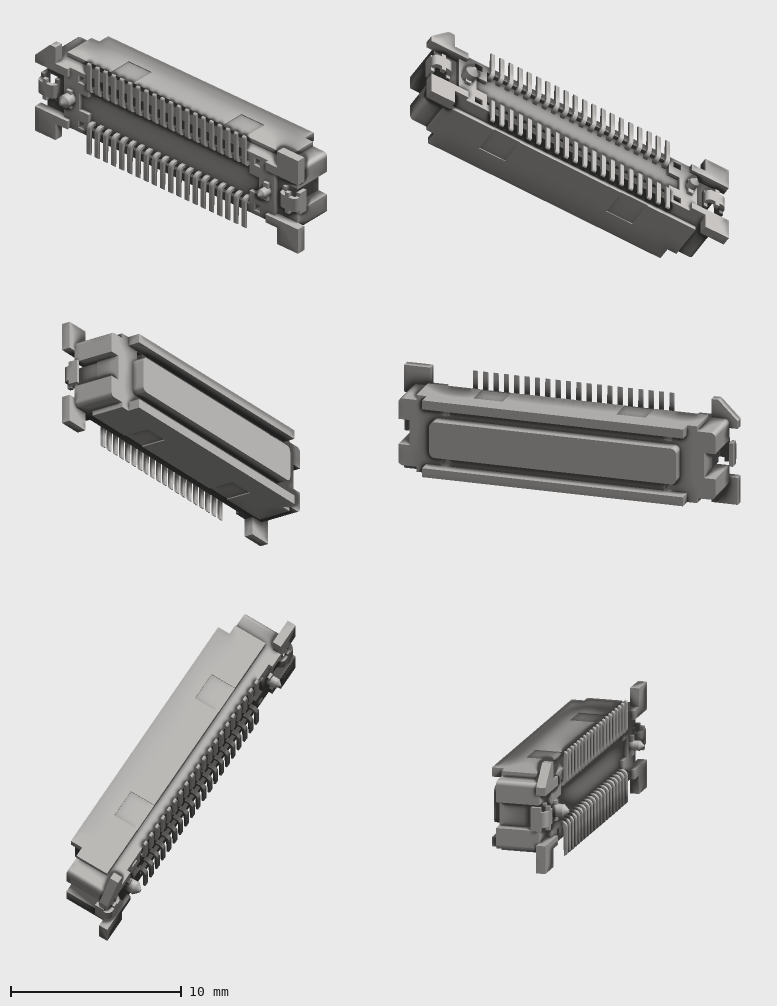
import cadquery as cq


SIDES = (-1, 1)

PAD_SPAN_X = 20.57
PAD_SPAN_Z = 6.4
PAD_WIDTH = 1.63
PAD_THICKNESS = 0.55
PAD_INNER_Z = 1.52
ARM_INNER_X = 7.73
KEY_CHAMFER = 1.2
PAD_X = PAD_SPAN_X / 2
PAD_Z = PAD_SPAN_Z / 2

BODY_X = 9.77
BODY_Z = 2.08
BODY_FRONT_Y = 0.25
BODY_BACK_Y = 3.17
BODY_EDGE_RADIUS = 0.27
CENTER_X = 8.23
END_SLOT_X = 9.07
END_SLOT_Z = 0.78

MATING_END_Y = 3.95
COVER_X = 8.65
COVER_TIP_X = 8.05
COVER_FRONT_Y = 1.05
COVER_Z = 2.39
COVER_INNER_Z = 1.83
TONGUE_X = 7.61
TONGUE_Z = 1.11
TONGUE_RADIUS = 0.33

WINDOW_X = 4.4
WINDOW_WIDTH = 1.8
WINDOW_BACK_Y = 2.67
WINDOW_DEPTH = 0.06

RECESS_X = 6.3
RECESS_Z = PAD_INNER_Z
RECESS_TAB_X = 7.03
RECESS_TAB_Z = 0.6
RECESS_FLOOR_Y = 0.5

HOLE_X = 6.87
HOLE_Z = 1.56
HOLE_SIZE = 0.5

CONTACT_COUNT = 20
CONTACT_PITCH = 0.64
CONTACT_WIDTH = 0.27
CONTACT_THICKNESS = 0.2
CONTACT_FACE_Y = -0.06
CONTACT_TIP_Z = 3.15
CONTACT_TIP_RADIUS = 0.16
CONTACT_ROOT_Z = 1.07
CONTACT_BEND_RADIUS = 0.37

PEG_X = 7.7
LARGE_PEG_DIAMETER = 0.8
SMALL_PEG_DIAMETER = 0.6
LARGE_PEG_TIP_DIAMETER = 0.2
PEG_SHOULDER_Y = -0.35
PEG_TIP_Y = -0.65
PEG_RIB_WIDTH = 0.35
PEG_RIB_Z = 0.6
PEG_RIB_Y = 0.05

CLIP_OUTER_X = 10.12
CLIP_INNER_X = 8.78
CLIP_THICKNESS = 0.25
CLIP_BEND_RADIUS = 0.35
CLIP_FRONT_Y = CONTACT_FACE_Y
CLIP_LEG_FRONT_Y = 0.35
CLIP_OUTER_LEG_Y = 0.95
CLIP_INNER_LEG_Y = 1.67
CLIP_POCKET_X = 8.95
CLIP_LEG_Z = 0.72
CLIP_BEND_Z = 0.45
CLIP_TAB_INNER_X = 9.34
CLIP_TAB_OUTER_X = 9.6


def block(x_range, y_range, z_range):
    """Axis-aligned box between pairs of limits, given in either order."""
    limits = [sorted(r) for r in (x_range, y_range, z_range)]
    sizes = [high - low for low, high in limits]
    corner = tuple(low for low, high in limits)
    return cq.Workplane("XY").box(*sizes, centered=False).translate(corner)


def both(half_size):
    """Range centred on zero."""
    return -half_size, half_size


def centered(middle, size):
    """Range of a given size about a middle."""
    return middle - size / 2, middle + size / 2


def make_body():
    """Housing block with an open slot at each end and a tongue at the mating end."""
    body = block(both(BODY_X), (PAD_THICKNESS, BODY_BACK_Y), both(BODY_Z))
    body = body.edges("|Y").fillet(BODY_EDGE_RADIUS)
    body = body.union(block(both(CENTER_X), (BODY_FRONT_Y, BODY_BACK_Y), both(BODY_Z)))
    for side in SIDES:
        slot_x = (side * END_SLOT_X, side * PAD_X)
        pocket_x = (side * CLIP_POCKET_X, side * PAD_X)
        body = body.cut(block(slot_x, (0, BODY_BACK_Y), both(END_SLOT_Z)))
        body = body.cut(block(pocket_x, (0, CLIP_INNER_LEG_Y), both(END_SLOT_Z)))
    tongue = block(both(TONGUE_X), (BODY_BACK_Y, MATING_END_Y), both(TONGUE_Z))
    return body.union(tongue.edges("|Y").fillet(TONGUE_RADIUS))


def make_cover(side_z):
    """Plate on one long side, with a slightly shorter tip beyond the body and two windows."""
    cover_z = (side_z * COVER_INNER_Z, side_z * COVER_Z)
    plate = block(both(COVER_X), (COVER_FRONT_Y, BODY_BACK_Y), cover_z)
    tip = block(both(COVER_TIP_X), (BODY_BACK_Y, MATING_END_Y), cover_z)
    cover = plate.union(tip)
    for side_x in SIDES:
        window = block(
            centered(side_x * WINDOW_X, WINDOW_WIDTH),
            (COVER_FRONT_Y, WINDOW_BACK_Y),
            (side_z * (COVER_Z - WINDOW_DEPTH), side_z * COVER_Z),
        )
        cover = cover.cut(window)
    return cover


def make_pad(side_x, side_z):
    """Solder pad with a narrower arm reaching inwards along the body."""
    thickness = (0, PAD_THICKNESS)
    pad_x = (side_x * (PAD_X - PAD_WIDTH), side_x * PAD_X)
    arm_x = (side_x * ARM_INNER_X, side_x * PAD_X)
    pad = block(pad_x, thickness, (side_z * PAD_INNER_Z, side_z * PAD_Z))
    arm = block(arm_x, thickness, (side_z * PAD_INNER_Z, side_z * BODY_Z))
    return pad.union(arm)


def make_pads():
    """Four pads; the one at -X, +Z has its outer corner cut off as a key."""
    pads = cq.Workplane("XY")
    for side_x in SIDES:
        for side_z in SIDES:
            pad = make_pad(side_x, side_z)
            if side_x < 0 < side_z:
                pad = pad.edges("|Y").edges("<X").edges(">Z").chamfer(KEY_CHAMFER)
            pads = pads.add(pad)
    return pads.combine()


def make_recess():
    """Volume removed from the seating face: a long field with a tab at each end."""
    depth = (0, RECESS_FLOOR_Y)
    main = block(both(RECESS_X), depth, both(RECESS_Z))
    return main.union(block(both(RECESS_TAB_X), depth, both(RECESS_TAB_Z)))


def make_holes():
    """Four square holes running through the body along Y."""
    holes = cq.Workplane("XY")
    for side_x in SIDES:
        for side_z in SIDES:
            hole_x = centered(side_x * HOLE_X, HOLE_SIZE)
            hole_z = centered(side_z * HOLE_Z, HOLE_SIZE)
            holes = holes.add(block(hole_x, (0, BODY_BACK_Y), hole_z))
    return holes.combine()


def make_contact():
    """Contact for the +Z row: a tail with a rounded tip, bent through 90 degrees into the recess floor."""
    back_y = CONTACT_FACE_Y + CONTACT_THICKNESS
    bend_y = CONTACT_FACE_Y + CONTACT_BEND_RADIUS
    bend_z = CONTACT_ROOT_Z + CONTACT_BEND_RADIUS
    root_back_z = CONTACT_ROOT_Z + CONTACT_THICKNESS
    tip_y = CONTACT_FACE_Y + CONTACT_TIP_RADIUS
    tip_z = CONTACT_TIP_Z - CONTACT_TIP_RADIUS
    inner_radius = CONTACT_BEND_RADIUS - CONTACT_THICKNESS
    profile = (
        cq.Workplane("YZ")
        .moveTo(RECESS_FLOOR_Y, CONTACT_ROOT_Z)
        .lineTo(bend_y, CONTACT_ROOT_Z)
        .radiusArc((CONTACT_FACE_Y, bend_z), CONTACT_BEND_RADIUS)
        .lineTo(CONTACT_FACE_Y, tip_z)
        .radiusArc((tip_y, CONTACT_TIP_Z), CONTACT_TIP_RADIUS)
        .lineTo(back_y, bend_z)
        .radiusArc((bend_y, root_back_z), -inner_radius)
        .lineTo(RECESS_FLOOR_Y, root_back_z)
        .close()
    )
    return profile.extrude(CONTACT_WIDTH / 2, both=True)


def make_contacts():
    """Two mirrored rows of contacts, evenly spaced about X = 0."""
    upper = make_contact()
    lower = upper.mirror("XY")
    first_x = -CONTACT_PITCH * (CONTACT_COUNT - 1) / 2
    contacts = cq.Workplane("XY")
    for index in range(CONTACT_COUNT):
        offset = (first_x + index * CONTACT_PITCH, 0, 0)
        contacts = contacts.add(upper.translate(offset)).add(lower.translate(offset))
    return contacts.combine()


def make_peg(x, diameter, tip_diameter):
    """Peg with a conical end, flanked by a short rib in Z."""
    profile = [
        (0, RECESS_FLOOR_Y),
        (diameter / 2, RECESS_FLOOR_Y),
        (diameter / 2, PEG_SHOULDER_Y),
        (tip_diameter / 2, PEG_TIP_Y),
    ]
    if tip_diameter > 0:
        profile.append((0, PEG_TIP_Y))
    peg = cq.Workplane("XY").polyline(profile).close().revolve(360, (0, 0), (0, 1))
    rib = block(centered(0, PEG_RIB_WIDTH), (PEG_RIB_Y, RECESS_FLOOR_Y), both(PEG_RIB_Z))
    return peg.union(rib).translate((x, 0, 0))


def make_clip(side_x):
    """U-shaped strip, narrowed at its two bends, whose inner leg sits in the body."""
    gap_x = (CLIP_INNER_X + CLIP_THICKNESS, CLIP_OUTER_X - CLIP_THICKNESS)
    leg_z = both(CLIP_LEG_Z)
    envelope = block((CLIP_INNER_X, CLIP_OUTER_X), (CLIP_FRONT_Y, CLIP_INNER_LEG_Y), leg_z)
    envelope = envelope.edges("|Z and <Y").fillet(CLIP_BEND_RADIUS)
    gap = block(gap_x, (CLIP_FRONT_Y + CLIP_THICKNESS, CLIP_INNER_LEG_Y), leg_z)
    gap = gap.edges("|Z and <Y").fillet(CLIP_BEND_RADIUS - CLIP_THICKNESS)
    clip = envelope.cut(gap)

    clip = clip.cut(block((gap_x[1], CLIP_OUTER_X), (CLIP_OUTER_LEG_Y, CLIP_INNER_LEG_Y), leg_z))

    for side_z in SIDES:
        notch_z = (side_z * CLIP_BEND_Z, side_z * CLIP_LEG_Z)
        for notch_x in ((CLIP_INNER_X, CLIP_TAB_INNER_X), (CLIP_TAB_OUTER_X, CLIP_OUTER_X)):
            clip = clip.cut(block(notch_x, (CLIP_FRONT_Y, CLIP_LEG_FRONT_Y), notch_z))
    return clip if side_x > 0 else clip.mirror("YZ")


result = make_body()
for side in SIDES:
    result = result.union(make_cover(side))
result = result.union(make_pads()).cut(make_recess())

result = result.cut(make_holes())
result = result.union(make_peg(-PEG_X, LARGE_PEG_DIAMETER, LARGE_PEG_TIP_DIAMETER))
result = result.union(make_peg(PEG_X, SMALL_PEG_DIAMETER, 0))

for side in SIDES:
    result = result.union(make_clip(side))

result = result.union(make_contacts())